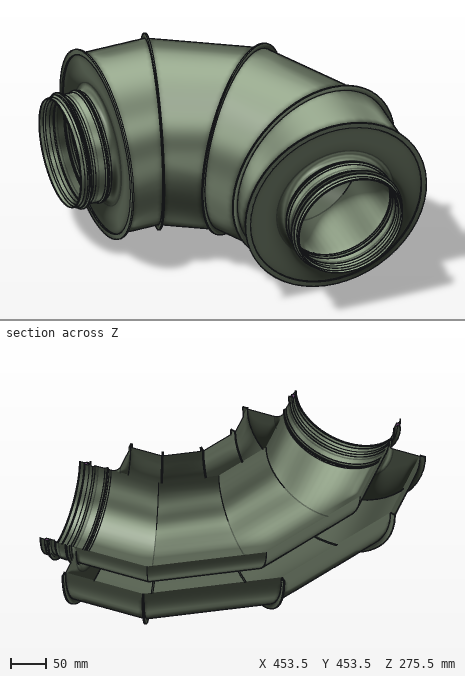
import cadquery as cq
import math


overall_length = 453.5
flange_diameter = 275.5
bend_radius = 240.0
half_bend = math.radians(45)
mitre_angle = half_bend / 3
spigot_length = 55.5
axis_reach = overall_length - flange_diameter / 2
face_reach = axis_reach - spigot_length

wall = 0.5
shell_diameter = 261.0
flange_thickness = 2.3
spigot_diameter = 159.0
groove_diameter = 153.7
tip_diameter = 158.0
bead_diameter = 163.5
flare_radius = 10.0
plate_recess = flange_thickness

flare_end = flare_radius - plate_recess
bead_start = 11.0
bead_crest_start = 13.5
bead_crest_end = 15.0
bead_end = 17.2
taper_start = 27.0
taper_end = 31.7
groove_start = 34.5
groove_end = 46.3
rim_start = 48.5
tip_start = 54.0

lip_diameter = 168.5
lip_start = 40.0
lip_end = 41.3
rib_start = 43.0
rib_end = 45.5

shell_bore_radius = shell_diameter / 2 - wall
spigot_radius = spigot_diameter / 2
taper_radius = spigot_radius - wall
groove_radius = groove_diameter / 2
bead_radius = bead_diameter / 2
duct_radius = spigot_radius - wall

mitre_setback = bend_radius * (1 - math.tan(mitre_angle))
middle_setback = bend_radius * (1 - math.cos(half_bend) / math.cos(mitre_angle))
mitre_points = [
    (0, -mitre_setback),
    (middle_setback, -middle_setback),
    (mitre_setback, 0),
]


def mitred_rod(radius, reach):
    """A round rod along the mitred centre line, ending at the given reach on both axes."""
    path = cq.Workplane("XY").polyline([(0, -reach), *mitre_points, (reach, 0)])
    return cq.Workplane("XZ", origin=(0, -reach, 0)).circle(radius).sweep(path, transition="right")


def seam_slab(number):
    """A slab centred on one mitre plane, as thick as a seam flange and wider than the bend."""
    x, y = mitre_points[number]
    outward = cq.Vector(x - bend_radius, y + bend_radius, 0)
    along = cq.Vector(0, 0, 1).cross(outward)
    plane = cq.Plane(origin=(x, y, 0), xDir=outward, normal=along)
    return cq.Workplane(plane).circle(flange_diameter).extrude(flange_thickness / 2, both=True)


def at_both_ends(body):
    """Two copies of a body modelled on +Z from the flange face: one on the -Y end, one on the +X end."""
    first = body.rotate((0, 0, 0), (1, 0, 0), 90).translate((0, -face_reach, 0))
    second = body.rotate((0, 0, 0), (0, 1, 0), 90).translate((face_reach, 0, 0))
    return [first, second]


def make_shell():
    end_flange = cq.Workplane("XY").circle(flange_diameter / 2).extrude(-flange_thickness)
    shell = mitred_rod(shell_diameter / 2, face_reach)
    flange_rod = mitred_rod(flange_diameter / 2, face_reach)
    for number in range(len(mitre_points)):
        shell = shell.union(flange_rod.intersect(seam_slab(number)))
    for flange in at_both_ends(end_flange):
        shell = shell.union(flange)
    return shell.cut(mitred_rod(shell_bore_radius, face_reach))


def make_inner_duct():
    reach = face_reach + flare_end
    return mitred_rod(duct_radius, reach).cut(mitred_rod(duct_radius - wall, reach))


def make_spigot():
    """End plate, flare and beaded spigot revolved as one sheet, in (radius, height) coordinates."""
    outside = [
        (spigot_radius, bead_start),
        (bead_radius, bead_crest_start),
        (bead_radius, bead_crest_end),
        (spigot_radius, bead_end),
        (spigot_radius, taper_start),
        (taper_radius, taper_end),
        (groove_radius, groove_start),
        (groove_radius, groove_end),
        (spigot_radius, rim_start),
        (spigot_radius, tip_start),
        (tip_diameter / 2, spigot_length),
    ]
    inside = [(radius - wall, height) for radius, height in reversed(outside)]

    flare_centre_radius = spigot_radius + flare_radius
    plate_back = -plate_recess - wall

    def flare_middle(radius):
        """The point halfway round the quarter-circle flare."""
        reach = radius * math.cos(math.pi / 4)
        return (flare_centre_radius - reach, flare_end - reach)

    profile = (
        cq.Workplane("XZ")
        .moveTo(shell_bore_radius, plate_back)
        .lineTo(shell_bore_radius, -plate_recess)
        .lineTo(flare_centre_radius, -plate_recess)
        .threePointArc(flare_middle(flare_radius), (spigot_radius, flare_end))
    )
    for point in outside + inside:
        profile = profile.lineTo(*point)
    profile = (
        profile.lineTo(spigot_radius - wall, flare_end)
        .threePointArc(flare_middle(flare_radius + wall), (flare_centre_radius, plate_back))
        .close()
    )
    return profile.revolve(360, (0, 0, 0), (0, 1, 0))


def make_seal():
    """Rubber ring in the spigot groove, with a tall sealing lip and a lower rib."""
    points = [
        (groove_radius, lip_start),
        (lip_diameter / 2, lip_start),
        (lip_diameter / 2, lip_end),
        (spigot_radius, lip_end),
        (spigot_radius, rib_start),
        (bead_radius, rib_start),
        (bead_radius, rib_end),
        (spigot_radius, rim_start),
        (groove_radius, groove_end),
    ]
    return cq.Workplane("XZ").polyline(points).close().revolve(360, (0, 0, 0), (0, 1, 0))


shell = make_shell()
inner_duct = make_inner_duct()
spigots = at_both_ends(make_spigot())
seals = at_both_ends(make_seal())

result = cq.Compound.makeCompound(
    [
        shell.val(),
        inner_duct.val(),
        *[spigot.val() for spigot in spigots],
        *[seal.val() for seal in seals],
    ]
)